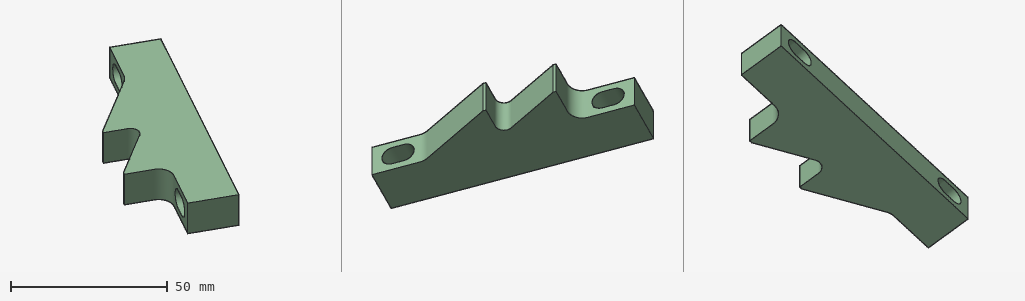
import cadquery as cq
import math

length = 90.0
thickness = 12.0
bar_depth = 17.0
total_depth = 32.0
first_tooth_face = 45.0
tooth_pitch = 24.0
tooth_angle = 30.0
tip_flat = 1.0

shoulder_radius = 5.0
notch_radius = 3.0

slot_length = 11.0
slot_height = 7.0
slot_inset = 9.0

flank_slope = math.tan(math.radians(tooth_angle))
second_tooth_face = first_tooth_face + tooth_pitch

flank_start = first_tooth_face - tip_flat - (total_depth - bar_depth) / flank_slope
notch_depth = total_depth - (tooth_pitch - tip_flat) * flank_slope


def make_toothed_plate():
    plate = (
        cq.Workplane("XY")
        .moveTo(0, 0)
        .lineTo(length, 0)
        .lineTo(length, -bar_depth)
        .lineTo(second_tooth_face, -bar_depth)
        .lineTo(second_tooth_face, -total_depth)
        .lineTo(second_tooth_face - tip_flat, -total_depth)
        .lineTo(first_tooth_face, -notch_depth)
        .lineTo(first_tooth_face, -total_depth)
        .lineTo(first_tooth_face - tip_flat, -total_depth)
        .lineTo(flank_start, -bar_depth)
        .lineTo(0, -bar_depth)
        .close()
        .extrude(thickness)
    )
    blends = [
        (flank_start, -bar_depth, shoulder_radius),
        (second_tooth_face, -bar_depth, shoulder_radius),
        (first_tooth_face, -notch_depth, notch_radius),
    ]
    for x, y, radius in blends:
        corner = cq.selectors.NearestToPointSelector((x, y, thickness / 2))
        plate = plate.edges("|Z").edges(corner).fillet(radius)
    return plate


def make_slots():
    return (
        cq.Workplane("XZ")
        .pushPoints([(x, thickness / 2) for x in (slot_inset, length - slot_inset)])
        .slot2D(slot_length, slot_height)
        .extrude(total_depth)
    )


result = make_toothed_plate().cut(make_slots())